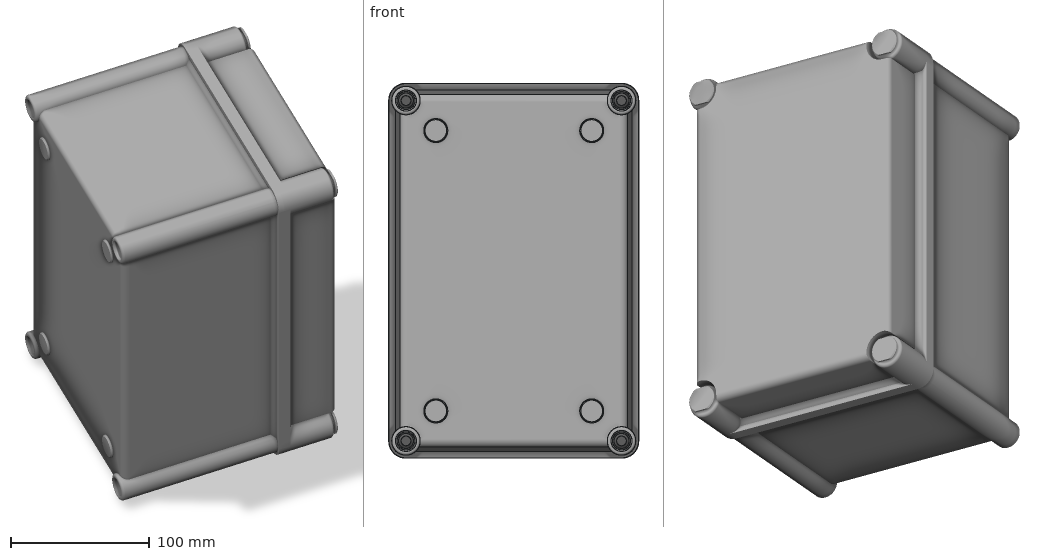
import cadquery as cq


WIDTH = 180.0
DEPTH = 171.0
HEIGHT = 270.0

CORNER_RADIUS = 12.5
CORNER_X = WIDTH / 2 - CORNER_RADIUS
CORNER_Z = HEIGHT / 2 - CORNER_RADIUS
CORNERS = [(x, z) for x in (-CORNER_X, CORNER_X) for z in (-CORNER_Z, CORNER_Z)]

FLANGE_START = 122.0
PARTING_Y = 126.4
FLOOR_Y = 2.7
FLOOR_FILLET = 5.5
BASE_INSET = 8.0
BASE_CHAMFER = 3.2
POST_RADIUS = 10.3
POST_FILLET = 2.0
FOOT_RADIUS = 8.6
FOOT_CHAMFER = 0.8
FOOT_END_Y = 1.0
FOOT_X = 56.2
FOOT_Z = 101.0

BORE_RADIUS = 6.5
BORE_CHAMFER = 1.0
BORE_DEPTH = 94.5

LID_FLANGE_END = 131.0
LID_INSET = 7.5
LID_SLOPE = 3.8
SLOPE_CORNER_RADIUS = 8.0
PANEL_START = LID_FLANGE_END + LID_SLOPE
PANEL_FILLET = 4.9
BOSS_END = 165.8
BOSS_FILLET = 2.0
NOTCH_RADIUS = CORNER_RADIUS + 1.4

SHANK_RADIUS = 5.5
TIP_CHAMFER = 2.0
NECK_RADIUS = 7.0
HEAD_RADIUS = 10.5
HEAD_START = 168.0
HEAD_END = 169.5
HEAD_CHAMFER = 0.8
HEAD_ACROSS_FLATS = 17.8


def block(inset, y_start, y_end):
    """Box set in from the overall outline by `inset` on its four sides."""
    size = (WIDTH - 2 * inset, y_end - y_start, HEIGHT - 2 * inset)
    return cq.Workplane("XY").box(*size).translate((0, (y_start + y_end) / 2, 0))


def sloped_block(inset_start, y_start, inset_end, y_end):
    """Frustum whose four sides run from one inset to another."""
    return (
        cq.Workplane("XZ", origin=(0, y_start, 0))
        .rect(WIDTH - 2 * inset_start, HEIGHT - 2 * inset_start)
        .workplane(offset=y_start - y_end)
        .rect(WIDTH - 2 * inset_end, HEIGHT - 2 * inset_end)
        .loft(ruled=True)
    )


def rod(x, z, radius, y_start, y_end):
    """Round bar along Y."""
    return cq.Workplane("XZ", origin=(x, y_start, z)).circle(radius).extrude(y_start - y_end)


def flange(y_start, y_end):
    """Plate over the whole outline with rounded corners."""
    return block(0, y_start, y_end).edges("|Y").fillet(CORNER_RADIUS)


def make_base():
    base = block(BASE_INSET, FLOOR_Y, FLANGE_START).faces("<Y").edges().fillet(FLOOR_FILLET)
    base = base.union(flange(FLANGE_START, PARTING_Y))
    base = base.union(
        sloped_block(BASE_INSET, FLANGE_START - BASE_CHAMFER, BASE_INSET - BASE_CHAMFER, FLANGE_START)
    )

    for x, z in CORNERS:
        post = rod(x, z, POST_RADIUS, 0, FLANGE_START).faces("<Y").edges().fillet(POST_FILLET)
        base = base.union(post)

    for x in (-FOOT_X, FOOT_X):
        for z in (-FOOT_Z, FOOT_Z):
            foot = rod(x, z, FOOT_RADIUS, FOOT_END_Y, FLOOR_Y).faces("<Y").chamfer(FOOT_CHAMFER)
            base = base.union(foot)

    for x, z in CORNERS:
        mouth = cq.Solid.makeCone(
            BORE_RADIUS + BORE_CHAMFER, BORE_RADIUS, BORE_CHAMFER, cq.Vector(x, 0, z), cq.Vector(0, 1, 0)
        )
        base = base.cut(cq.Workplane(mouth))
        base = base.cut(rod(x, z, BORE_RADIUS, 0, BORE_DEPTH))
        base = base.cut(rod(x, z, SHANK_RADIUS, BORE_DEPTH, PARTING_Y))
    return base


def make_lid():
    panel = block(LID_INSET, PANEL_START, DEPTH).faces(">Y").edges().fillet(PANEL_FILLET)
    for x, z in CORNERS:
        panel = panel.cut(rod(x, z, NOTCH_RADIUS, PANEL_START, DEPTH))

    lid = flange(PARTING_Y, LID_FLANGE_END)
    for x, z in CORNERS:
        lid = lid.union(rod(x, z, CORNER_RADIUS, PARTING_Y, BOSS_END))
    lid = lid.faces(">Y").edges().fillet(BOSS_FILLET)

    slope = sloped_block(LID_INSET - LID_SLOPE, LID_FLANGE_END, LID_INSET, PANEL_START)
    slope = slope.edges("not (|X or |Z)").fillet(SLOPE_CORNER_RADIUS)
    lid = lid.union(slope).union(panel)

    for x, z in CORNERS:
        lid = lid.cut(rod(x, z, SHANK_RADIUS, PARTING_Y, BOSS_END))
    return lid


def make_screw(x, z):
    shank = rod(x, z, SHANK_RADIUS, BORE_DEPTH, BOSS_END).faces("<Y").chamfer(TIP_CHAMFER)
    neck = rod(x, z, NECK_RADIUS, BOSS_END, HEAD_START)

    head = rod(x, z, HEAD_RADIUS, HEAD_START, HEAD_END).faces(">Y").chamfer(HEAD_CHAMFER)
    flats = cq.Workplane("XY").box(2 * HEAD_RADIUS, DEPTH, HEAD_ACROSS_FLATS)
    head = head.intersect(flats.translate((x, DEPTH / 2, z)))
    return shank.union(neck).union(head)


base = make_base()
lid = make_lid()
screws = [make_screw(x, z).val() for x, z in CORNERS]

result = cq.Compound.makeCompound([base.val(), lid.val(), *screws])